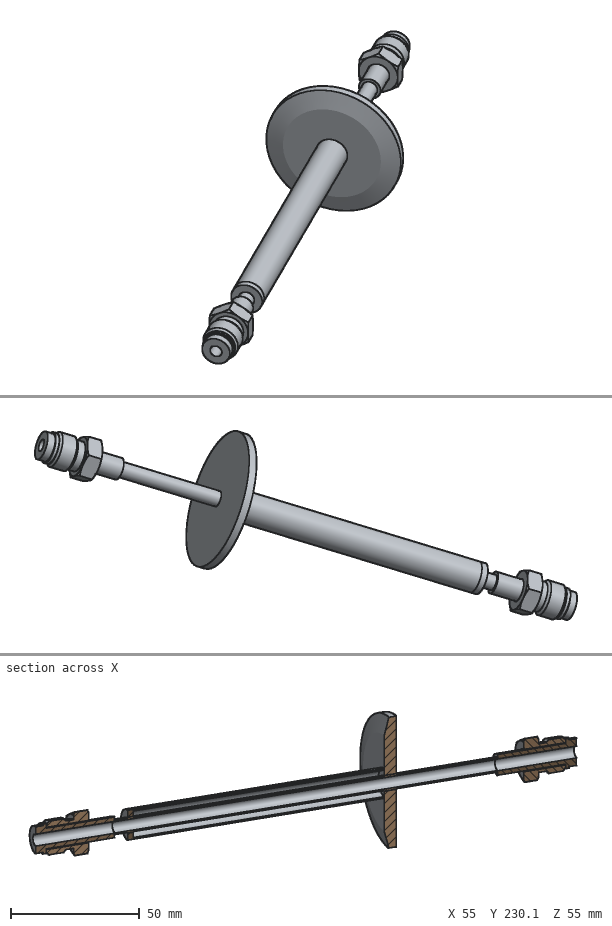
import cadquery as cq
import math


total_length = 230.12
back_end_y = 76.65
front_end_y = back_end_y - total_length

flange_diameter = 55.0
flange_face_diameter = 40.0
flange_thickness = 5.3
clamp_angle = 15.0
clamp_depth = (flange_diameter - flange_face_diameter) / 2 * math.tan(math.radians(clamp_angle))

tube_diameter = 6.35
tube_bore = 4.57
sleeve_diameter = 12.7
sleeve_bore = 10.9
cap_length = 2.6
cap_end_y = front_end_y + 39.1

gland_bore = 4.76
gland_tip_diameter = 11.43
gland_tip_length = 3.2
gland_rim_diameter = 12.7
gland_rim_end = 4.75
collar_diameter = 8.89
gland_length = 33.7

nut_bore = 9.14
thread_diameter = 14.29
neck_diameter = 12.19
thread_end = 13.0
hex_start = 16.1
hex_end = 22.7
hex_across_flats = 15.875
hex_across_corners = hex_across_flats / math.cos(math.pi / 6)
hex_chamfer_angle = 25.0
thread_chamfer = (thread_diameter - neck_diameter) / 2


def cylinder(diameter, y_start, y_end):
    """Cylinder on the Y axis from y_start up to y_end."""
    length = y_end - y_start
    return cq.Workplane("XZ", origin=(0, y_start, 0)).circle(diameter / 2).extrude(-length)


def revolve_profile(points):
    """Solid of revolution about the Y axis from (radius, y) points."""
    return cq.Workplane("XY").polyline(points).close().revolve(360, (0, 0, 0), (0, 1, 0))


def make_flange():
    rim_radius = flange_diameter / 2
    profile = [
        (tube_diameter / 2, 0),
        (rim_radius, 0),
        (rim_radius, clamp_depth - flange_thickness),
        (flange_face_diameter / 2, -flange_thickness),
        (tube_diameter / 2, -flange_thickness),
    ]
    return revolve_profile(profile)


def make_sleeve():
    start = cap_end_y + cap_length
    end = -flange_thickness
    return cylinder(sleeve_diameter, start, end).cut(cylinder(sleeve_bore, start, end))


def make_sleeve_cap():
    end = cap_end_y + cap_length
    return cylinder(sleeve_diameter, cap_end_y, end).cut(cylinder(tube_diameter, cap_end_y, end))


def make_tube():
    start = front_end_y + gland_length
    end = back_end_y - gland_length
    return cylinder(tube_diameter, start, end).cut(cylinder(tube_bore, start, end))


def make_gland():
    """Gland with its sealing end at Y = 0 and its collar toward +Y."""
    tip = cylinder(gland_tip_diameter, 0, gland_tip_length)
    rim = cylinder(gland_rim_diameter, gland_tip_length, gland_rim_end)
    collar = cylinder(collar_diameter, gland_rim_end, gland_length)
    return tip.union(rim).union(collar).cut(cylinder(gland_bore, 0, gland_length))


def make_nut():
    """Male nut around a gland whose sealing end is at Y = 0."""
    thread_radius = thread_diameter / 2
    neck_radius = neck_diameter / 2
    barrel = revolve_profile([
        (0, gland_rim_end),
        (neck_radius, gland_rim_end),
        (thread_radius, gland_rim_end + thread_chamfer),
        (thread_radius, thread_end - thread_chamfer),
        (neck_radius, thread_end),
        (neck_radius, hex_start),
        (0, hex_start),
    ])
    hexagon = (
        cq.Workplane("XZ", origin=(0, hex_start, 0))
        .transformed(rotate=(0, 0, 90))
        .polygon(6, hex_across_corners)
        .extrude(hex_start - hex_end)
    )
    face_radius = hex_across_flats / 2
    corner_radius = hex_across_corners / 2
    corner_trim = (corner_radius - face_radius) * math.tan(math.radians(hex_chamfer_angle))
    trim_envelope = revolve_profile([
        (0, hex_start),
        (face_radius, hex_start),
        (corner_radius, hex_start + corner_trim),
        (corner_radius, hex_end - corner_trim),
        (face_radius, hex_end),
        (0, hex_end),
    ])
    bore = cylinder(nut_bore, gland_rim_end, hex_end)
    return barrel.union(hexagon.intersect(trim_envelope)).cut(bore)


def place_at_ends(body):
    """One copy at the front end and one turned round at the back end."""
    front = body.translate((0, front_end_y, 0))
    back = body.rotate((0, 0, 0), (0, 0, 1), 180).translate((0, back_end_y, 0))
    return [front.val(), back.val()]


flange = make_flange()
sleeve = make_sleeve()
sleeve_cap = make_sleeve_cap()
tube = make_tube()
glands = place_at_ends(make_gland())
nuts = place_at_ends(make_nut())

result = cq.Compound.makeCompound(
    [flange.val(), sleeve.val(), sleeve_cap.val(), tube.val(), *glands, *nuts]
)